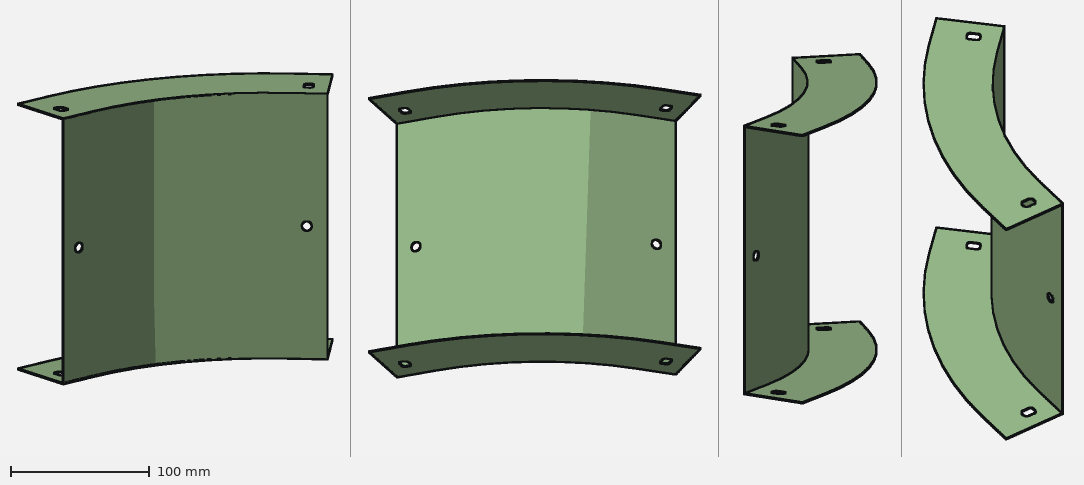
import cadquery as cq
import math

bend_angle = 45.0
outer_radius = 240.0
flange_width = 50.0
straight_length = 30.0
height = 200.0
sheet = 0.9

hole_diameter = 7.0
slot_length = 10.0
slot_corner_radius = 2.5
slot_inset = 30.0
hole_from_end = straight_length / 2

inner_radius = outer_radius - flange_width
bend_center = (outer_radius, straight_length)


def bend_point(radius, angle, beyond=0.0):
    """Point on the bend at an angle, moved forward along the tangent."""
    a = math.radians(angle)
    return (
        bend_center[0] - radius * math.cos(a) + beyond * math.sin(a),
        bend_center[1] + radius * math.sin(a) + beyond * math.cos(a),
    )


def curved_strip(large_radius, small_radius, thickness):
    """Straight, arc, straight strip between two concentric edges."""
    half = bend_angle / 2
    return (
        cq.Workplane("XY")
        .moveTo(*bend_point(large_radius, 0, -straight_length))
        .lineTo(*bend_point(large_radius, 0))
        .threePointArc(bend_point(large_radius, half), bend_point(large_radius, bend_angle))
        .lineTo(*bend_point(large_radius, bend_angle, straight_length))
        .lineTo(*bend_point(small_radius, bend_angle, straight_length))
        .lineTo(*bend_point(small_radius, bend_angle))
        .threePointArc(bend_point(small_radius, half), bend_point(small_radius, 0))
        .lineTo(*bend_point(small_radius, 0, -straight_length))
        .close()
        .extrude(thickness)
    )


def flange_slot(angle, beyond):
    """Rounded slot through both flanges, lying across the strip."""
    x, y = bend_point(outer_radius - slot_inset, angle, beyond)
    return (
        cq.Workplane("XY")
        .rect(slot_length, hole_diameter)
        .extrude(height)
        .edges("|Z")
        .fillet(slot_corner_radius)
        .rotate((0, 0, 0), (0, 0, 1), -angle)
        .translate((x, y, 0))
    )


def web_hole(angle, beyond):
    """Round hole through the web at mid height."""
    x, y = bend_point(inner_radius, angle, beyond)
    return (
        cq.Workplane("YZ")
        .circle(hole_diameter / 2)
        .extrude(2 * sheet, both=True)
        .rotate((0, 0, 0), (0, 0, 1), -angle)
        .translate((x, y, height / 2))
    )


bottom_flange = curved_strip(outer_radius, inner_radius, sheet)
top_flange = bottom_flange.translate((0, 0, height - sheet))
web = curved_strip(inner_radius + sheet, inner_radius, height)
result = web.union(bottom_flange).union(top_flange)

for end_angle, past_bend in ((0, -hole_from_end), (bend_angle, hole_from_end)):
    result = result.cut(flange_slot(end_angle, past_bend))
    result = result.cut(web_hole(end_angle, past_bend))